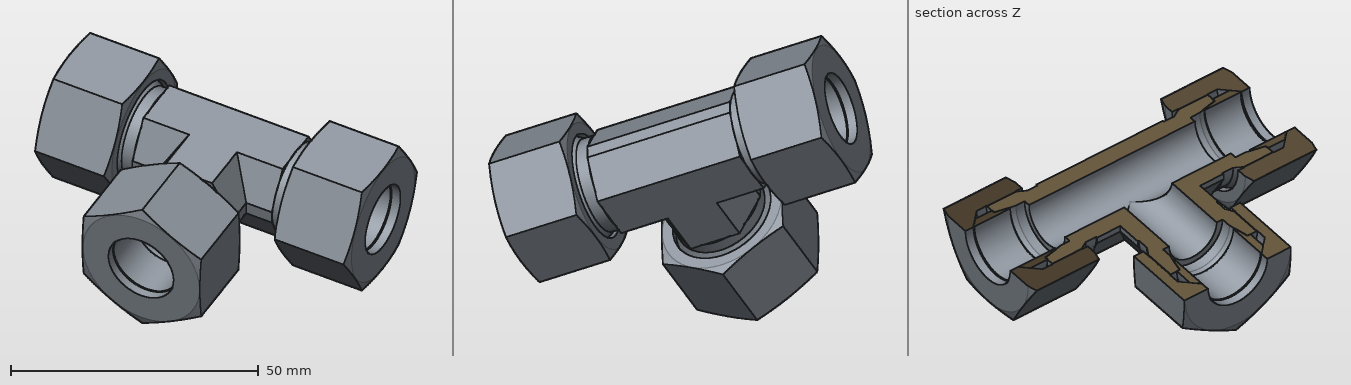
import cadquery as cq
import math

ARM_LENGTH = 36.0

BAR_FLATS = 19.0
BAR_WIDTH = 20.3
BAR_REACH = 16.0

COLLAR_DIAMETER = 19.7
COLLAR_END = 18.65
FLARE_ANGLE = 30.0
THREAD_DIAMETER = 22.0
STUB_END = 28.0
PASSAGE_DIAMETER = 12.0
TUBE_DIAMETER = 15.0
SOCKET_FLOOR = 21.0
MOUTH_DIAMETER = 17.0
CONE_HALF_ANGLE = 12.0

NUT_LENGTH = 17.0
NUT_FLATS = 27.0
NUT_FACE_DIAMETER = 26.8
NUT_CHAMFER_ANGLE = 15.0
NUT_BORE_DEPTH = 2.0

RING_DIAMETER = 18.7
RING_GAP = 0.3
RING_TIP_WALL = 0.3

TUBE_RADIUS = TUBE_DIAMETER / 2
THREAD_RADIUS = THREAD_DIAMETER / 2
COLLAR_RADIUS = COLLAR_DIAMETER / 2
MOUTH_RADIUS = MOUTH_DIAMETER / 2
CONE_SLOPE = math.tan(math.radians(CONE_HALF_ANGLE))
NUT_INNER_FACE = ARM_LENGTH - NUT_LENGTH
SEAT_START = ARM_LENGTH - NUT_BORE_DEPTH

ARMS = [(0, 0), (180, 0), (-90, 30)]


def turned_about_x(profile):
    """Revolve a closed outline of (x, radius) points about the X axis."""
    return cq.Workplane("XY").polyline(profile).close().revolve(360, (0, 0, 0), (1, 0, 0))


def cylinder_along_x(diameter, start, end):
    return cq.Workplane("YZ", origin=(start, 0, 0)).circle(diameter / 2).extrude(end - start)


def hexagon_along_x(across_flats, start, end):
    """Hexagonal bar along X with two flats facing up and down."""
    across_corners = across_flats / math.cos(math.radians(30))
    return cq.Workplane("YZ", origin=(start, 0, 0)).polygon(6, across_corners).extrude(end - start)


def aim(part, direction):
    return part.rotate((0, 0, 0), (0, 0, 1), direction)


def make_bar():
    """Half-length forged bar from the centre of the tee, with its side corners cut off."""
    bar = hexagon_along_x(BAR_FLATS, 0, BAR_REACH)
    envelope = cq.Workplane("XY").box(2 * BAR_REACH, BAR_WIDTH, BAR_FLATS)
    return bar.intersect(envelope)


def make_stub():
    """Collar, flare and plain thread cylinder."""
    flare_length = (THREAD_RADIUS - COLLAR_RADIUS) / math.tan(math.radians(FLARE_ANGLE))
    return turned_about_x([
        (BAR_REACH, 0),
        (BAR_REACH, COLLAR_RADIUS),
        (COLLAR_END, COLLAR_RADIUS),
        (COLLAR_END + flare_length, THREAD_RADIUS),
        (STUB_END, THREAD_RADIUS),
        (STUB_END, 0),
    ])


def make_socket():
    """Tube socket with the sealing cone at its mouth, as a cutting shape."""
    cone_depth = (MOUTH_RADIUS - TUBE_RADIUS) / CONE_SLOPE
    return turned_about_x([
        (SOCKET_FLOOR, 0),
        (SOCKET_FLOOR, TUBE_RADIUS),
        (STUB_END - cone_depth, TUBE_RADIUS),
        (STUB_END, MOUTH_RADIUS),
        (STUB_END, 0),
    ])


def make_tee():
    tee = cq.Workplane("XY")
    for direction, _ in ARMS:
        tee = tee.union(aim(make_bar(), direction))
        tee = tee.union(aim(make_stub(), direction))
    for direction, _ in ARMS:
        tee = tee.cut(aim(cylinder_along_x(PASSAGE_DIAMETER, 0, STUB_END), direction))
        tee = tee.cut(aim(make_socket(), direction))
    return tee


def make_nut():
    """Hexagon nut chamfered at both ends, with a thread bore, 45 degree seat and tube bore."""
    corner_radius = NUT_FLATS / 2 / math.cos(math.radians(30))
    face_radius = NUT_FACE_DIAMETER / 2
    chamfer_depth = (corner_radius - face_radius) * math.tan(math.radians(NUT_CHAMFER_ANGLE))
    seat_end = SEAT_START - (THREAD_RADIUS - TUBE_RADIUS)
    chamfered_blank = turned_about_x([
        (NUT_INNER_FACE, 0),
        (NUT_INNER_FACE, face_radius),
        (NUT_INNER_FACE + chamfer_depth, corner_radius),
        (ARM_LENGTH - chamfer_depth, corner_radius),
        (ARM_LENGTH, face_radius),
        (ARM_LENGTH, 0),
    ])
    bore = turned_about_x([
        (NUT_INNER_FACE, 0),
        (NUT_INNER_FACE, THREAD_RADIUS),
        (seat_end, THREAD_RADIUS),
        (SEAT_START, TUBE_RADIUS),
        (ARM_LENGTH, TUBE_RADIUS),
        (ARM_LENGTH, 0),
    ])
    return hexagon_along_x(NUT_FLATS, NUT_INNER_FACE, ARM_LENGTH).intersect(chamfered_blank).cut(bore)


def make_sealing_ring():
    """Ring that fills the space between the nut seat and the sealing cone of the stub."""
    ring_radius = RING_DIAMETER / 2
    back = SEAT_START - RING_GAP
    shoulder = SEAT_START - (ring_radius - TUBE_RADIUS)
    tip_radius = TUBE_RADIUS + RING_TIP_WALL
    tip = STUB_END - (MOUTH_RADIUS - tip_radius) / CONE_SLOPE
    return turned_about_x([
        (back, TUBE_RADIUS),
        (back, TUBE_RADIUS + RING_GAP),
        (shoulder, ring_radius),
        (STUB_END, ring_radius),
        (STUB_END, MOUTH_RADIUS),
        (tip, tip_radius),
        (tip, TUBE_RADIUS),
    ])


tee = make_tee()

nuts = []
sealing_rings = []
for direction, nut_turn in ARMS:
    turned_nut = make_nut().rotate((0, 0, 0), (1, 0, 0), nut_turn)
    nuts.append(aim(turned_nut, direction).val())
    sealing_rings.append(aim(make_sealing_ring(), direction).val())

result = cq.Compound.makeCompound([tee.val(), *nuts, *sealing_rings])